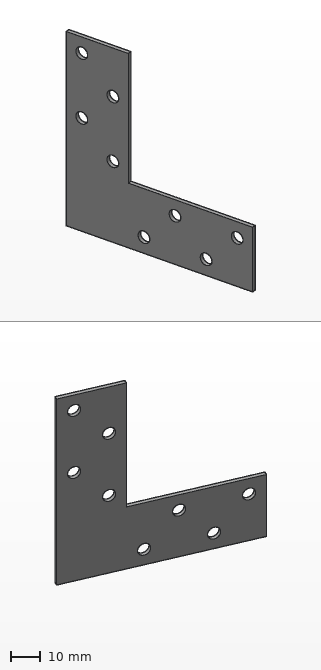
import cadquery as cq

leg_length = 76.2
thickness = 1.6
hole_diameter = 4.7
holes_per_leg = 4

leg_width = leg_length / 3

outer_row = leg_width / 4
inner_row = leg_width * 3 / 4
hole_pitch = leg_width / 2
first_hole = leg_width + outer_row


def hole_centers():
    """Return the (x, z) hole centers, staggered along both legs."""
    centers = []
    for index in range(holes_per_leg):
        along = first_hole + index * hole_pitch
        if index % 2 == 0:
            upright_row, base_row = inner_row, outer_row
        else:
            upright_row, base_row = outer_row, inner_row
        centers.append((upright_row, along))
        centers.append((along, base_row))
    return centers


def corner_plate():
    """L-shaped plate with its outer corner at the origin."""
    return (
        cq.Workplane("XZ")
        .moveTo(0, 0)
        .lineTo(leg_length, 0)
        .lineTo(leg_length, leg_width)
        .lineTo(leg_width, leg_width)
        .lineTo(leg_width, leg_length)
        .lineTo(0, leg_length)
        .close()
        .extrude(thickness)
    )


def hole_cutters():
    """Cylinders that pass through the full plate thickness."""
    return (
        cq.Workplane("XZ")
        .pushPoints(hole_centers())
        .circle(hole_diameter / 2)
        .extrude(thickness)
    )


result = corner_plate().cut(hole_cutters())